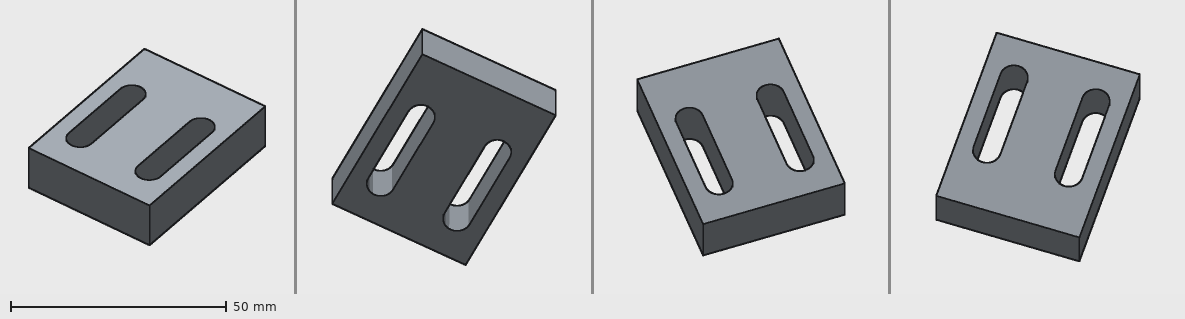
import cadquery as cq

block_width = 35.0
block_length = 45.0
block_height = 12.0

slot_width = 6.5
slot_travel = 20.0
slot_spacing = 20.0
front_arc_inset = 10.0

slot_length = slot_travel + slot_width
slot_center_y = -block_length / 2 + front_arc_inset + slot_travel / 2
slot_centers = [(side * slot_spacing / 2, slot_center_y) for side in (-1, 1)]


def make_block():
    """Plain rectangular block, centred in X and Y and resting on Z = 0."""
    return cq.Workplane("XY").box(block_width, block_length, block_height, centered=(True, True, False))


def make_slots():
    """Round-ended cutters spanning the full block height."""
    return (
        cq.Workplane("XY")
        .pushPoints(slot_centers)
        .slot2D(slot_length, slot_width, angle=90)
        .extrude(block_height)
    )


result = make_block().cut(make_slots())